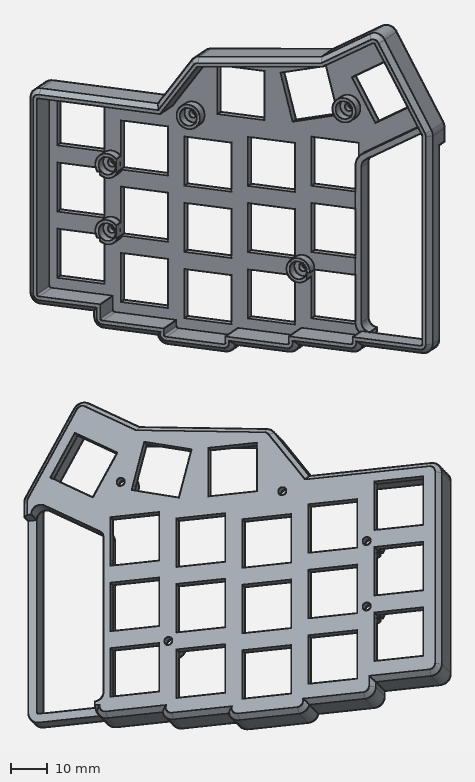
import cadquery as cq
import math

width = 120.2
depth = 11.0
wall = 2.5
corner_radius = 3.1
edge_chamfer = 1.5
plate_thickness = 2.4
plate_front = depth - plate_thickness
thumb_angle = 30.0

pitch = 19.0
key_size = 14.0
rows = 3
first_key_x = 11.9
first_key_z = 12.6
column_lifts = [6.8, 2.3, 0.0, 2.3, 4.7]

upper_keys = [
    (59.7, 72.3, 0.0),
    (80.1, 74.5, thumb_angle / 2),
    (102.5, 78.2, thumb_angle),
]

left_top = 68.6
ramp_foot_x = 38.1
ramp_top = (49.0, 83.4)
valley = (87.0, 88.1)
shoulder = 70.4
thumb_floor = column_lifts[0]
step_positions = [pitch, 2 * pitch, 61.4, 80.4, 99.4]

boss_diameter = 7.0
bore_diameter = 5.0
screw_diameter = 2.3
boss_front = 5.4
boss_centers = [(21.1, 47.5), (21.1, 28.5), (45.4, 64.5), (78.2, 24.6), (91.9, 72.2)]

window_left = 96.8
window_left_top = 57.9
window_right = width - wall
window_right_top = window_left_top + (window_right - window_left) * math.tan(math.radians(thumb_angle))
window_bottom = thumb_floor + wall
window_radius = 2.5
window_front = 6.0
window_depth = depth - window_front
rib_thickness = 1.8


def sketch_at(y):
    """Workplane at depth y that extrudes toward +Y; its second axis points along -Z."""
    return cq.Workplane(cq.Plane(origin=(0, y, 0), xDir=(1, 0, 0), normal=(0, 1, 0)))


def to_sketch(points):
    return [(x, -z) for x, z in points]


def inset_points(points, distance):
    """Corners of a clockwise polygon after every side moves inward by the distance."""
    moved = []
    for i, corner in enumerate(points):
        before = points[i - 1]
        after = points[(i + 1) % len(points)]
        arriving = math.atan2(corner[1] - before[1], corner[0] - before[0])
        leaving = math.atan2(after[1] - corner[1], after[0] - corner[0])
        along_x = math.cos(arriving) + math.cos(leaving)
        along_z = math.sin(arriving) + math.sin(leaving)
        reach = 2 * distance / (along_x ** 2 + along_z ** 2)
        moved.append((corner[0] + reach * along_z, corner[1] - reach * along_x))
    return moved


def thumb_corner():
    """Right-angled top corner between the tilted thumb edge and the sloping right edge."""
    angle = math.radians(thumb_angle)
    across = width - valley[0]
    drop = valley[1] - shoulder
    run = across * math.cos(angle) - drop * math.sin(angle)
    return (valley[0] + run * math.cos(angle), valley[1] + run * math.sin(angle))


def outline_points():
    """Sharp corners of the case outline, clockwise from the left top."""
    top = [(0, left_top), (ramp_foot_x, left_top), ramp_top, valley, thumb_corner(), (width, shoulder)]
    floors = column_lifts + [thumb_floor]
    bottom = [(width, thumb_floor)]
    for i in reversed(range(len(step_positions))):
        bottom.append((step_positions[i], floors[i + 1]))
        bottom.append((step_positions[i], floors[i]))
    bottom.append((0, floors[0]))
    return top + bottom


def case_prism(length, inset=0.0):
    """Case outline moved inward by the inset, convex corners rounded, extruded from y = 0."""
    core = inset_points(outline_points(), corner_radius)
    outline = sketch_at(0).polyline(to_sketch(core)).close()
    return outline.offset2D(corner_radius - inset, "arc").extrude(length)


def cylinders(diameter, y_front, y_back):
    """One cylinder at each boss position."""
    centers = sketch_at(y_front).pushPoints(to_sketch(boss_centers))
    return centers.circle(diameter / 2).extrude(y_back - y_front)


def key_cutout(x, z, turn=0.0):
    square = sketch_at(0).center(x, -z).transformed(rotate=(0, 0, -turn))
    return square.rect(key_size, key_size).extrude(depth)


def key_cutouts():
    keys = [key_cutout(*key) for key in upper_keys]
    for column, lift in enumerate(column_lifts):
        for row in range(rows):
            keys.append(key_cutout(first_key_x + column * pitch, first_key_z + lift + row * pitch))
    return keys


def window_prism(grow=0.0):
    """Thumb window grown outward, rounded except where the right wall meets the floor."""
    points = [
        (window_left, window_bottom),
        (window_left, window_left_top),
        (window_right, window_right_top),
        (window_right, window_bottom),
    ]
    outline = sketch_at(window_front).polyline(to_sketch(inset_points(points, -grow))).close()
    prism = outline.extrude(window_depth)
    rounded = prism.edges("|Y").edges("<X or (>X and >Z)")
    return rounded.fillet(window_radius + grow)


def thumb_wall_relief():
    """Block that removes the right wall and floor behind the window, up to its rounded corners."""
    half_turn = math.radians((90 + thumb_angle) / 2)
    relief_top = window_right_top - window_radius * math.tan(half_turn)
    relief_left = window_left + window_radius
    block = cq.Workplane("XY").box(width - relief_left, window_depth, relief_top, centered=False)
    block = block.translate((relief_left, window_front, 0))
    return block.cut(case_prism(depth, wall))


shell = case_prism(depth).faces("<Y or >Y").chamfer(edge_chamfer)
result = shell.cut(case_prism(plate_front, wall))

result = result.union(cylinders(boss_diameter, boss_front, plate_front))
for cutout in key_cutouts():
    result = result.cut(cutout)
result = result.cut(cylinders(bore_diameter, boss_front, plate_front))
result = result.cut(cylinders(screw_diameter, plate_front, depth))

rib = window_prism(rib_thickness).intersect(case_prism(depth, wall))
result = result.union(rib)
result = result.cut(window_prism())
result = result.cut(thumb_wall_relief())